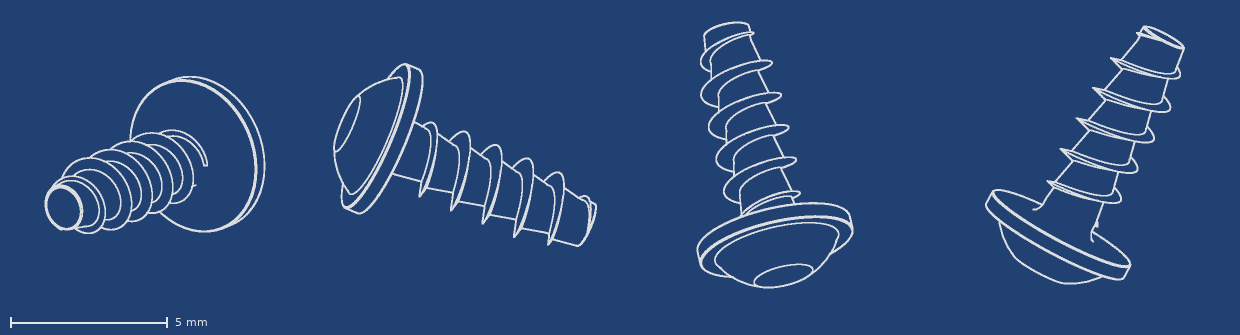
import cadquery as cq
import math


overall_length = 8.5

flange_radius = 2.5
flange_thickness = 0.5
flange_edge_chamfer = 0.03
dome_base_radius = 2.02
dome_top_radius = 0.96
dome_height = 0.995

shank_length = overall_length - flange_thickness - dome_height
neck_radius = 0.89
neck_fillet = 0.41
neck_length = 0.62
core_radius = 0.71
core_taper_length = 1.275
tip_face_radius = 0.67
tip_chamfer_length = 0.03
seam_angle = -50

pitch = 1.118
thread_start_depth = 0.57
thread_turns = 5.75
run_in_turns = 1.0
run_out_turns = 1.4
start_crest_radius = 0.995
crest_radius = 1.25
end_crest_radius = 0.75
head_side_root_radius = 0.72
tip_side_root_radius = 0.89
end_root_radius = 0.73
head_side_flank_width = 0.15
tip_side_flank_width = 0.1
taper_end_radius = core_radius - 0.01
turn_gap = 0.02
buried_radius = 0.55
pieces_per_turn = 4
steps_per_piece = 6


def blend(start, end, fraction):
    """Linear change from start to end, held constant outside 0..1."""
    return start + (end - start) * min(max(fraction, 0), 1)


def make_body():
    """Domed head, flange, filleted neck and the core of the shank."""
    sphere_center = (
        dome_base_radius**2 - dome_top_radius**2 - dome_height**2
    ) / (2 * dome_height)
    sphere_radius = math.hypot(dome_base_radius, sphere_center)
    mid_height = dome_height / 2
    dome_mid_radius = math.sqrt(sphere_radius**2 - (mid_height + sphere_center) ** 2)
    head_top = flange_thickness + dome_height
    fillet_mid = neck_fillet * (1 - math.sqrt(0.5))
    edge_radius = flange_radius - flange_edge_chamfer
    return (
        cq.Workplane("XY")
        .moveTo(0, head_top)
        .lineTo(dome_top_radius, head_top)
        .threePointArc(
            (dome_mid_radius, flange_thickness + mid_height),
            (dome_base_radius, flange_thickness),
        )
        .lineTo(edge_radius, flange_thickness)
        .lineTo(flange_radius, flange_thickness - flange_edge_chamfer)
        .lineTo(flange_radius, flange_edge_chamfer)
        .lineTo(edge_radius, 0)
        .lineTo(neck_radius + neck_fillet, 0)
        .threePointArc(
            (neck_radius + fillet_mid, -fillet_mid),
            (neck_radius, -neck_fillet),
        )
        .lineTo(neck_radius, -neck_length)
        .lineTo(core_radius, -neck_length - core_taper_length)
        .lineTo(core_radius, tip_chamfer_length - shank_length)
        .lineTo(tip_face_radius, -shank_length)
        .lineTo(0, -shank_length)
        .close()
        .revolve(360, (0, 0, 0), (0, 1, 0))
        .rotate((0, 0, 0), (0, 1, 0), seam_angle)
    )


def thread_section(turn):
    """Corners of the thread section as (radius, depth below the flange)."""
    depth = thread_start_depth + pitch * turn
    run_out = (turn - thread_turns + run_out_turns) / run_out_turns
    crest = blend(start_crest_radius, crest_radius, turn / run_in_turns)
    crest = blend(crest, end_crest_radius, run_out)
    tip_side_root = blend(tip_side_root_radius, end_root_radius, run_out)
    height_ratio = (crest - head_side_root_radius) / (crest_radius - head_side_root_radius)
    section_top = depth - head_side_flank_width * height_ratio
    section_bottom = depth + pitch - head_side_flank_width - turn_gap
    return [
        (buried_radius, section_top),
        (head_side_root_radius, section_top),
        (crest, depth),
        (tip_side_root, depth + tip_side_flank_width * height_ratio),
        (taper_end_radius, section_bottom),
        (buried_radius, section_bottom),
    ]


def corner_point(corner, turn):
    radius, depth = thread_section(turn)[corner]
    angle = 2 * math.pi * turn
    return cq.Vector(radius * math.cos(angle), -depth, radius * math.sin(angle))


def make_thread_piece(start, end):
    """Part of the thread between two turn values, with ruled faces between the corner spirals."""
    turns = [start + (end - start) * step / steps_per_piece for step in range(steps_per_piece + 1)]
    corners = range(len(thread_section(start)))
    spirals = [cq.Edge.makeSpline([corner_point(corner, turn) for turn in turns]) for corner in corners]
    faces = [cq.Face.makeRuledSurface(spirals[corner - 1], spirals[corner]) for corner in corners]
    for turn in (start, end):
        outline = cq.Wire.makePolygon([corner_point(corner, turn) for corner in corners], close=True)
        faces.append(cq.Face.makeFromWires(outline))
    return cq.Solid.makeSolid(cq.Shell.makeShell(faces)).fix()


def make_shank_limit():
    """Envelope around the shank, closed at the tip by the chamfered tip face."""
    chamfer_start = tip_chamfer_length - shank_length
    return (
        cq.Workplane("XY")
        .lineTo(flange_radius, 0)
        .lineTo(flange_radius, chamfer_start)
        .lineTo(core_radius, chamfer_start)
        .lineTo(tip_face_radius, -shank_length)
        .lineTo(0, -shank_length)
        .close()
        .revolve(360, (0, 0, 0), (0, 1, 0))
        .rotate((0, 0, 0), (0, 1, 0), seam_angle)
    )


shank_limit = make_shank_limit()
result = make_body()
for piece in range(round(thread_turns * pieces_per_turn)):
    thread_piece = make_thread_piece(piece / pieces_per_turn, (piece + 1) / pieces_per_turn)
    result = result.union(cq.Workplane(thread_piece).intersect(shank_limit))